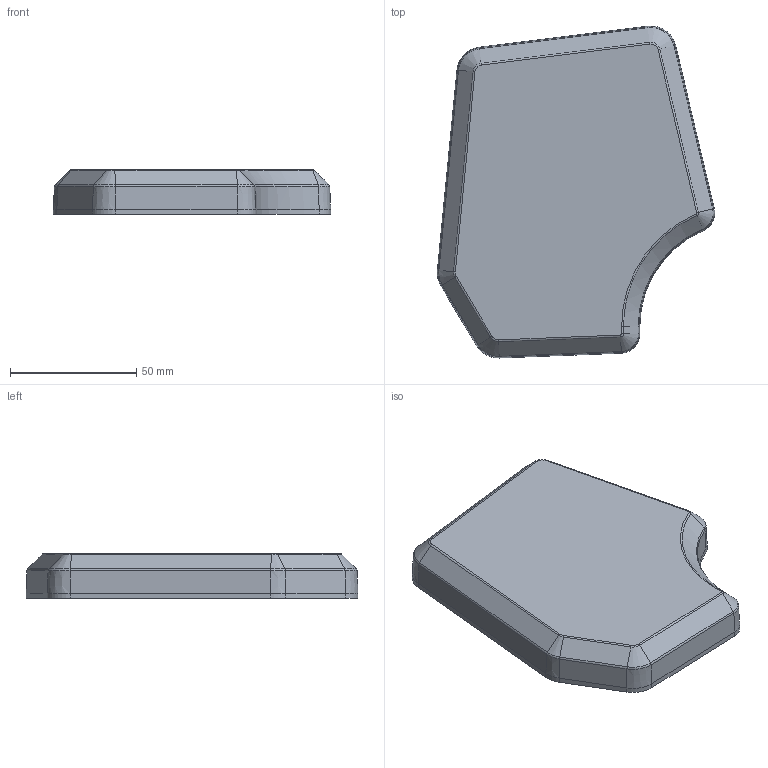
import cadquery as cq
import math

total_height = 17.78
base_height = 1.98
bevel_height = 6.35
shoulder_height = total_height - bevel_height

wall_draft = 2.5
bevel_angle = 45.0

upper_left = (-46.4, 56.43)
upper_right = (37.43, 66.87)
left_corner = (-55.26, -34.32)
lower_left = (-36.33, -66.01)
right_edge_angle = -76.68
bottom_edge_angle = 2.24

bite_radius = 41.25
bite_center = (66.55, -53.3)

corner_radius = 10.16
tip_radius = 7.62
shoulder_round = 1.2
rim_round = 1.0

level_tolerance = 0.01


def step(point, angle, distance):
    """Point reached by moving from a point along a direction in degrees."""
    a = math.radians(angle)
    return (point[0] + distance * math.cos(a), point[1] + distance * math.sin(a))


def direction(start, end):
    """Direction in degrees from one point to another."""
    return math.degrees(math.atan2(end[1] - start[1], end[0] - start[0]))


def corner_round(before, corner, after):
    """Start, middle and end points of the arc rounding a straight-sided corner."""
    back = direction(corner, before)
    ahead = direction(corner, after)
    half_angle = ((ahead - back) % 360) / 2
    reach = corner_radius / math.tan(math.radians(half_angle))
    apex_distance = corner_radius / math.sin(math.radians(half_angle)) - corner_radius
    start = step(corner, back, reach)
    middle = step(corner, back + half_angle, apex_distance)
    end = step(corner, ahead, reach)
    return start, middle, end


def right_tip():
    """Arc tangent to the right side and to the bite, listed from side to bite."""
    inward = right_edge_angle - 90
    line_start = step(upper_right, inward, tip_radius)
    a = math.radians(right_edge_angle)
    dx = bite_center[0] - line_start[0]
    dy = bite_center[1] - line_start[1]
    along = dx * math.cos(a) + dy * math.sin(a)
    across = -dx * math.sin(a) + dy * math.cos(a)
    travel = along - math.sqrt((bite_radius + tip_radius) ** 2 - across**2)
    center = step(line_start, right_edge_angle, travel)
    side_angle = inward + 180
    bite_angle = direction(center, bite_center)
    return [
        step(center, angle, tip_radius)
        for angle in (side_angle, (side_angle + bite_angle) / 2, bite_angle)
    ]


def bottom_tip():
    """Arc tangent to the vertical end of the bite and to the bottom side."""
    bite_end_x = bite_center[0] - bite_radius
    center_x = bite_end_x - tip_radius
    bottom_normal = bottom_edge_angle - 90
    slope = math.radians(bottom_edge_angle)
    bottom_y = lower_left[1] + (center_x - lower_left[0]) * math.tan(slope)
    center = (center_x, bottom_y + tip_radius / math.cos(slope))
    return [step(center, angle, tip_radius) for angle in (0, bottom_normal / 2, bottom_normal)]


def outline(plane):
    """Closed plan outline, traced clockwise from the upper-left corner."""
    side_tip = right_tip()
    foot_tip = bottom_tip()
    corners = [
        corner_round(left_corner, upper_left, upper_right),
        corner_round(upper_left, upper_right, side_tip[0]),
        corner_round(foot_tip[2], lower_left, left_corner),
        corner_round(lower_left, left_corner, upper_left),
    ]
    bite_start_angle = direction(bite_center, side_tip[2])
    bite_middle = step(bite_center, (bite_start_angle + 180) / 2, bite_radius)
    bite_end = step(bite_center, 180, bite_radius)

    sketch = plane.moveTo(*corners[0][0]).threePointArc(*corners[0][1:])
    for start, middle, end in (corners[1], side_tip):
        sketch = sketch.lineTo(*start).threePointArc(middle, end)
    sketch = sketch.threePointArc(bite_middle, bite_end)
    for start, middle, end in (foot_tip, corners[2], corners[3]):
        sketch = sketch.lineTo(*start).threePointArc(middle, end)
    return sketch.close()


def build_base():
    """Straight-walled foot of the part."""
    return outline(cq.Workplane("XY")).extrude(base_height)


def build_upper():
    """Drafted wall and bevel above the foot, with rounded shoulder and rim."""
    wall_height = shoulder_height - base_height
    wall_plane = cq.Workplane("XY", origin=(0, 0, base_height))
    wall = outline(wall_plane).extrude(wall_height, taper=wall_draft)
    shoulder = wall.faces(">Z")
    bevel = shoulder.wires().toPending().extrude(bevel_height, taper=bevel_angle, combine=False)

    upper = wall.union(bevel)
    shoulder_edges = upper.edges().filter(
        lambda edge: abs(edge.Center().z - shoulder_height) < level_tolerance
    )
    upper = shoulder_edges.fillet(shoulder_round)
    return upper.faces(">Z").edges().fillet(rim_round)


result = build_base().union(build_upper())